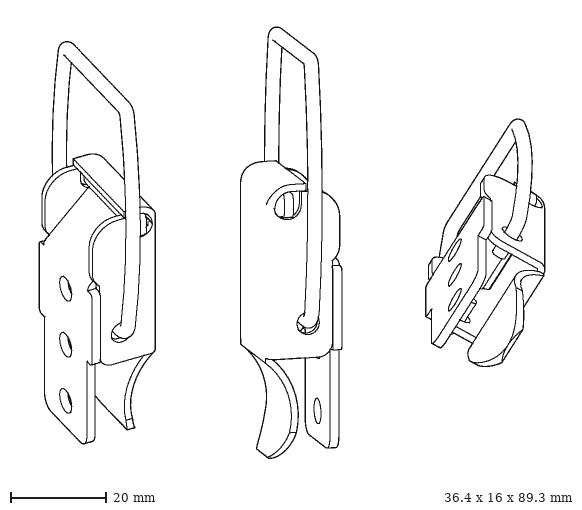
import cadquery as cq
import math


total_width = 36.4
total_depth = 16.0
total_height = 89.3

plate_t = 2.0
plate_bottom = 2.8
foot_width = 19.2
foot_corner_r = 3.0
shoulder_width = 23.9
shoulder_bottom = 24.7
shoulder_corner_r = 1.0
slope_start = 43.4
plate_bend_r = plate_t
ear_center_y = 11.7
ear_center_z = 56.4
ear_width = 24.6
ear_height = 5.0
ear_corner_r = 0.9
hole_d = 5.4
hole_count = 3
hole_bottom = 9.3
hole_pitch = 14.0

sheet_t = 1.5
lever_width = 22.95
lever_corner_r = 2.0
lever_bottom = 23.5
lip_top = 60.9
lip_bend_r = 5.0
lip_front = 7.8
notch_r = 2.95
lip_gap = 0.2
wall_front = 0.4
wall_top_r = 5.8
wall_bottom_r = 3.0
step_top = 47.25
step_r = 4.0
bail_hole_d = 4.8
bail_hole_z = 30.9
tab_width = foot_width
tab_r = 16.35
tab_center_y = 25.2
tab_center_z = 10.8
tab_tip_r = 10.0

wire_r = 1.5
bail_y = 7.2
bail_reach = total_width / 2 - wire_r
leg_r = 136.7
leg_center_z = 59.2
pivot_z = 31.35
pivot_end = 5.8
top_bend_r = 1.6
low_bend_r = 3.7

diagonal = math.sqrt(0.5)
strap_width = lever_width - 2 * sheet_t
back_inner_y = total_depth - sheet_t
lip_center_y = total_depth - lip_bend_r
lip_center_z = lip_top - lip_bend_r
ear_front_y = ear_center_y - plate_t / 2
ear_bottom = ear_center_z - ear_height / 2
ear_top = ear_center_z + ear_height / 2
strap_lean = math.atan2(ear_front_y, ear_bottom - slope_start)
bend_setback = plate_t * math.tan(strap_lean / 2)
shoulder_top = slope_start - bend_setback


def front_panel(width, bottom, top, corner_r):
    """Block through the full depth whose front outline is a rounded rectangle."""
    panel = cq.Workplane("XY").box(width, total_depth, top - bottom)
    if corner_r > 0:
        panel = panel.edges("|Y").fillet(corner_r)
    return panel.translate((0, total_depth / 2, (bottom + top) / 2))


def side_extrusion(outline, width):
    """Extrude a closed YZ outline symmetrically about X = 0."""
    return outline.extrude(width / 2, both=True)


def make_base_plate():
    profile = (
        cq.Workplane("YZ")
        .moveTo(0, plate_bottom)
        .lineTo(0, slope_start)
        .lineTo(ear_front_y, ear_bottom)
        .lineTo(ear_front_y, ear_top)
        .lineTo(ear_front_y + plate_t, ear_top)
        .lineTo(ear_front_y + plate_t, ear_bottom - bend_setback)
        .lineTo(plate_t, slope_start - bend_setback)
        .lineTo(plate_t, plate_bottom)
        .close()
    )
    sheet = side_extrusion(profile, ear_width)
    bend_edge = cq.selectors.NearestToPointSelector((0, 0, slope_start))
    sheet = sheet.edges("|X").edges(bend_edge).fillet(plate_bend_r)

    outline = (
        front_panel(foot_width, plate_bottom, shoulder_top - foot_corner_r, foot_corner_r)
        .union(front_panel(shoulder_width, shoulder_bottom, shoulder_top, shoulder_corner_r))
        .union(front_panel(strap_width, shoulder_bottom, ear_top, 0))
        .union(front_panel(ear_width, ear_bottom, ear_top, ear_corner_r))
    )
    plate = sheet.intersect(outline)

    for i in range(hole_count):
        hole = cq.Workplane("XZ").center(0, hole_bottom + i * hole_pitch).circle(hole_d / 2).extrude(-plate_t)
        plate = plate.cut(hole)
    return plate


def lever_block(inset):
    """Solid block with rounded rear corners; inset shrinks it to the inner face of the sheet."""
    width = lever_width - 2 * inset
    depth = total_depth - inset
    return (
        cq.Workplane("XY")
        .workplane(offset=lever_bottom)
        .center(0, depth / 2)
        .rect(width, depth)
        .extrude(lip_top - lever_bottom)
        .edges("|Z and >Y")
        .fillet(lever_corner_r - inset)
    )


def wall_outline():
    """Side outline of the lever walls, including the notch around the ears."""
    notch_back_y = ear_center_y + math.sqrt(notch_r**2 - (ear_center_z - lip_center_z) ** 2)
    wall_top = lip_top - sheet_t - lip_gap
    rest_y = plate_t
    step_center_y = wall_front + step_r
    step_angle = math.acos((step_center_y - rest_y) / step_r)
    step_bottom = step_top - step_r * math.sin(step_angle)
    step_mid_y = step_center_y - step_r * math.cos(step_angle / 2)
    step_mid_z = step_top - step_r * math.sin(step_angle / 2)
    return (
        cq.Workplane("YZ")
        .moveTo(total_depth, lever_bottom)
        .lineTo(total_depth, lip_center_z)
        .lineTo(notch_back_y, lip_center_z)
        .threePointArc((ear_center_y, ear_center_z - notch_r), (ear_center_y - notch_r, ear_center_z))
        .lineTo(ear_center_y - notch_r, wall_top)
        .lineTo(wall_front + wall_top_r, wall_top)
        .threePointArc(
            (wall_front + wall_top_r * (1 - diagonal), wall_top - wall_top_r * (1 - diagonal)),
            (wall_front, wall_top - wall_top_r),
        )
        .lineTo(wall_front, step_top)
        .threePointArc((step_mid_y, step_mid_z), (rest_y, step_bottom))
        .lineTo(rest_y, lever_bottom + wall_bottom_r)
        .threePointArc(
            (rest_y + wall_bottom_r * (1 - diagonal), lever_bottom + wall_bottom_r * (1 - diagonal)),
            (rest_y + wall_bottom_r, lever_bottom),
        )
        .close()
    )


def make_channel():
    """Back and side walls, with the bail holes."""
    channel = lever_block(0).cut(lever_block(sheet_t))
    channel = channel.intersect(side_extrusion(wall_outline(), lever_width))
    bail_holes = cq.Workplane("YZ").center(bail_y, bail_hole_z).circle(bail_hole_d / 2)
    return channel.cut(side_extrusion(bail_holes, lever_width))


def make_lip():
    """Upper end of the back, bent forward over the ears."""
    inner_r = lip_bend_r - sheet_t
    profile = (
        cq.Workplane("YZ")
        .moveTo(total_depth, lip_center_z)
        .threePointArc(
            (lip_center_y + lip_bend_r * diagonal, lip_center_z + lip_bend_r * diagonal),
            (lip_center_y, lip_top),
        )
        .lineTo(lip_front, lip_top)
        .lineTo(lip_front, lip_top - sheet_t)
        .lineTo(lip_center_y, lip_top - sheet_t)
        .threePointArc(
            (lip_center_y + inner_r * diagonal, lip_center_z + inner_r * diagonal),
            (back_inner_y, lip_center_z),
        )
        .close()
    )
    return side_extrusion(profile, lever_width).intersect(lever_block(0))


def make_thumb_tab():
    """Curved tab below the back, with a rounded tip."""
    back_r = tab_r - sheet_t
    root_y = tab_center_y - math.sqrt(tab_r**2 - (lever_bottom - tab_center_z) ** 2)
    root_back_z = tab_center_z + math.sqrt(back_r**2 - (tab_center_y - total_depth) ** 2)
    tip_angle = math.asin(tab_center_z / tab_r)

    def tip_point(radius):
        return (tab_center_y - radius * math.cos(tip_angle), tab_center_z - radius * math.sin(tip_angle))

    profile = (
        cq.Workplane("YZ")
        .moveTo(total_depth, lever_bottom)
        .lineTo(root_y, lever_bottom)
        .threePointArc((tab_center_y - tab_r, tab_center_z), tip_point(tab_r))
        .lineTo(*tip_point(back_r))
        .threePointArc((tab_center_y - back_r, tab_center_z), (total_depth, root_back_z))
        .close()
    )
    tip_disc = cq.Workplane("XZ").center(0, tab_tip_r).circle(tab_tip_r).extrude(-total_depth)
    outline = front_panel(tab_width, tab_tip_r, lever_bottom, 0).union(tip_disc)
    return side_extrusion(profile, tab_width).intersect(outline)


def make_lever():
    return make_channel().union(make_lip()).union(make_thumb_tab())


def arc_point(center, radius, angle):
    return (center[0] + radius * math.cos(angle), center[1] + radius * math.sin(angle))


def make_bail():
    bar_z = total_height - wire_r
    leg_center = (bail_reach - leg_r, leg_center_z)

    def leg_bend(radius, center_z):
        """Centre of a bend tangent inside the leg arc, and the angle where the two arcs touch."""
        angle = math.asin((center_z - leg_center_z) / (leg_r - radius))
        return arc_point(leg_center, leg_r - radius, angle), angle

    top_center, top_angle = leg_bend(top_bend_r, bar_z - top_bend_r)
    low_center, low_angle = leg_bend(low_bend_r, pivot_z + low_bend_r)
    leg_top = arc_point(leg_center, leg_r, top_angle)
    leg_low = arc_point(leg_center, leg_r, low_angle)
    top_mid = arc_point(top_center, top_bend_r, (top_angle + math.pi / 2) / 2)
    low_mid = arc_point(low_center, low_bend_r, (low_angle - math.pi / 2) / 2)
    top_x = top_center[0]
    low_x = low_center[0]

    def mirrored(point):
        return (-point[0], point[1])

    leg_mid = (bail_reach, leg_center_z)
    path = (
        cq.Workplane("XZ", origin=(0, bail_y, 0))
        .moveTo(pivot_end, pivot_z)
        .lineTo(low_x, pivot_z)
        .threePointArc(low_mid, leg_low)
        .threePointArc(leg_mid, leg_top)
        .threePointArc(top_mid, (top_x, bar_z))
        .lineTo(-top_x, bar_z)
        .threePointArc(mirrored(top_mid), mirrored(leg_top))
        .threePointArc(mirrored(leg_mid), mirrored(leg_low))
        .threePointArc(mirrored(low_mid), (-low_x, pivot_z))
        .lineTo(-pivot_end, pivot_z)
    )
    return cq.Workplane("YZ", origin=(pivot_end, bail_y, pivot_z)).circle(wire_r).sweep(path)


base_plate = make_base_plate()
lever = make_lever()
bail = make_bail()

result = cq.Compound.makeCompound([base_plate.solids().val(), lever.solids().val(), bail.val()])